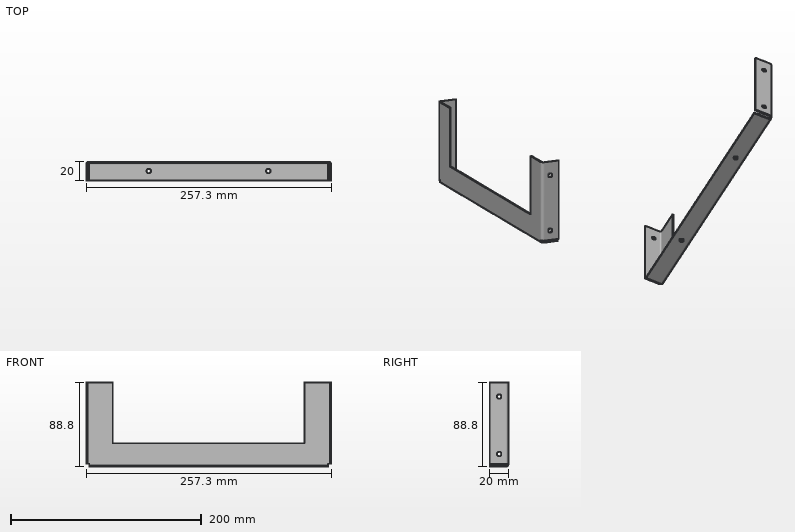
import cadquery as cq
import math

outer_width = 257.3
outer_height = 88.75
flange_reach = 20.0

sheet = 1.6
inner_radius = sheet
outer_radius = inner_radius + sheet

web_width = outer_width - 2 * outer_radius
web_bottom = outer_radius
web_height = outer_height - web_bottom
arm_width = 25.0
opening_width = web_width - 2 * arm_width
opening_depth = 63.8

hole_diameter = 4.5
hole_setback = flange_reach / 2
side_hole_drop = 15.0
side_hole_spacing = 60.3
bottom_hole_spacing = web_width / 2


def make_web():
    """U-shaped plate, open at the top."""
    plate = (
        cq.Workplane("XY")
        .box(web_width, sheet, web_height, centered=(True, False, False))
        .translate((0, -sheet, web_bottom))
    )
    opening = (
        cq.Workplane("XY")
        .box(opening_width, flange_reach, opening_depth, centered=(True, True, False))
        .translate((0, 0, outer_height - opening_depth))
    )
    return plate.cut(opening)


def flange_profile(plane):
    """Closed bend-and-flange section; local x runs outward from the web edge, local y along Y."""
    diagonal = math.cos(math.radians(45))
    outer_mid = outer_radius * diagonal
    inner_mid = inner_radius * diagonal
    return (
        cq.Workplane(plane)
        .moveTo(0, 0)
        .threePointArc((outer_mid, outer_mid - outer_radius), (outer_radius, -outer_radius))
        .lineTo(outer_radius, -flange_reach)
        .lineTo(inner_radius, -flange_reach)
        .lineTo(inner_radius, -outer_radius)
        .threePointArc((inner_mid, inner_mid - outer_radius), (0, -sheet))
        .close()
    )


def make_right_flange():
    """Full-height side flange on the +X edge of the web."""
    plane = cq.Plane(origin=(web_width / 2, 0, web_bottom), xDir=(1, 0, 0), normal=(0, 0, 1))
    return flange_profile(plane).extrude(web_height)


def make_bottom_flange():
    """Flange along the whole bottom edge of the web."""
    plane = cq.Plane(origin=(-web_width / 2, 0, web_bottom), xDir=(0, 0, -1), normal=(1, 0, 0))
    return flange_profile(plane).extrude(web_width)


def make_side_holes():
    """Cutters for the two holes in each side flange, running across the whole part."""
    upper = outer_height - side_hole_drop
    centres = [(-hole_setback, upper), (-hole_setback, upper - side_hole_spacing)]
    return (
        cq.Workplane("YZ")
        .pushPoints(centres)
        .circle(hole_diameter / 2)
        .extrude(outer_width / 2, both=True)
    )


def make_bottom_holes():
    """Cutters for the two holes in the bottom flange."""
    half_spacing = bottom_hole_spacing / 2
    return (
        cq.Workplane("XY")
        .pushPoints([(-half_spacing, -hole_setback), (half_spacing, -hole_setback)])
        .circle(hole_diameter / 2)
        .extrude(outer_radius)
    )


right_flange = make_right_flange()
bracket = make_web().union(right_flange).union(right_flange.mirror("YZ")).union(make_bottom_flange())
result = bracket.cut(make_side_holes()).cut(make_bottom_holes())